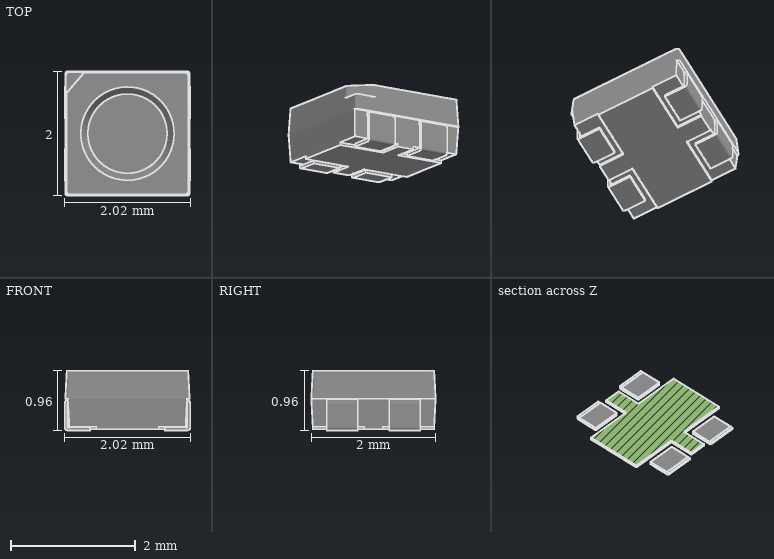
import cadquery as cq
import math

total_height = 0.96
parting_height = 0.51
standoff = 0.06

width = 2.0
lead_recess = 0.04
draft_angle = 3.0
corner_radius = 0.05

cup_top_radius = 0.75
cup_floor_radius = 0.636
cup_depth = 0.299

notch_depth = 0.2
notch_leg_x = 0.321
notch_leg_y = 0.374

pad_bottom = 0.016
pad_arm_width_x = 1.0
pad_arm_width_y = 0.299

lead_span = 2.02
lead_thickness = 0.05
lead_width = 0.5
lead_offset_y = 0.5
foot_gap = 1.2
shoulder_radius = 0.083
heel_radius = 0.048

upper_height = total_height - parting_height
lower_height = parting_height - standoff
lower_width = width - 2 * lead_recess
base_inset = lower_height * math.tan(math.radians(draft_angle))
lower_base_x = lower_width - 2 * base_inset
lower_base_y = width - 2 * base_inset


def make_upper_half():
    """Tapered upper half with the corner notch and rounded upright edges."""
    block = (
        cq.Workplane("XY", origin=(0, 0, parting_height))
        .rect(width, width)
        .extrude(upper_height, taper=draft_angle)
    )
    corner_x = -width / 2
    corner_y = width / 2
    notch = (
        cq.Workplane("XY", origin=(0, 0, total_height - notch_depth))
        .moveTo(corner_x, corner_y)
        .lineTo(corner_x + notch_leg_x, corner_y)
        .lineTo(corner_x, corner_y - notch_leg_y)
        .close()
        .extrude(notch_depth)
    )
    return block.cut(notch).edges("not #Z").fillet(corner_radius)


def make_lower_half():
    """Sharp-edged lower half, tapering towards the underside."""
    return (
        cq.Workplane("XY", origin=(0, 0, parting_height))
        .rect(lower_width, width)
        .extrude(-lower_height, taper=draft_angle)
    )


def make_pad():
    """Cross-shaped pad that reaches the bottom edges of the housing."""
    pad_height = standoff - pad_bottom
    plane = cq.Workplane("XY", origin=(0, 0, pad_bottom))
    arm_along_y = plane.rect(pad_arm_width_x, lower_base_y).extrude(pad_height)
    arm_along_x = plane.rect(lower_base_x, pad_arm_width_y).extrude(pad_height)
    return arm_along_y.union(arm_along_x)


def make_cup():
    """Conical space removed from the top to form the reflector cup."""
    return (
        cq.Workplane("XY", origin=(0, 0, total_height))
        .circle(cup_top_radius)
        .workplane(offset=-cup_depth)
        .circle(cup_floor_radius)
        .loft()
    )


def make_lead(side, y_center):
    """Bent strip on the +X or -X side (side = 1 or -1), its shoulder ending inside the housing."""
    outer = lead_span / 2
    inner = outer - lead_thickness
    shoulder_x = outer - shoulder_radius
    shoulder_z = parting_height - shoulder_radius
    inner_shoulder_radius = shoulder_radius - lead_thickness
    toe = foot_gap / 2
    lead = (
        cq.Workplane("XZ", origin=(0, lead_width / 2, 0))
        .moveTo(toe, 0)
        .lineTo(outer - heel_radius, 0)
        .radiusArc((outer, heel_radius), -heel_radius)
        .lineTo(outer, shoulder_z)
        .radiusArc((shoulder_x, parting_height), -shoulder_radius)
        .lineTo(shoulder_x, parting_height - lead_thickness)
        .radiusArc((inner, shoulder_z), inner_shoulder_radius)
        .lineTo(inner, lead_thickness)
        .lineTo(toe, lead_thickness)
        .close()
        .extrude(lead_width)
    )
    if side < 0:
        lead = lead.mirror("YZ")
    return lead.translate((0, y_center, 0))


leads = [
    make_lead(side, y_center)
    for side in (-1, 1)
    for y_center in (-lead_offset_y, lead_offset_y)
]

housing = make_upper_half().union(make_lower_half()).union(make_pad()).cut(make_cup())
for lead in leads:
    housing = housing.cut(lead)

result = cq.Compound.makeCompound([housing.val(), *[lead.val() for lead in leads]])